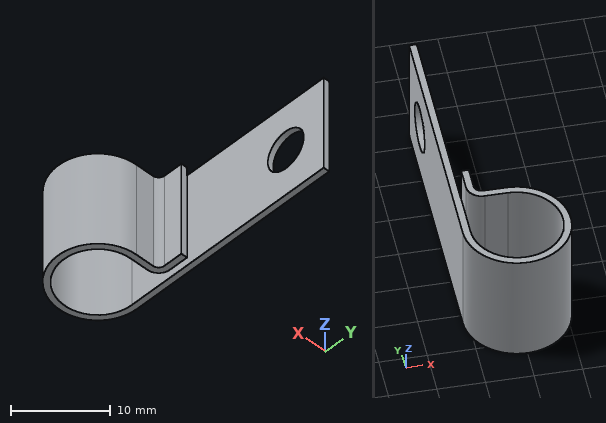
import cadquery as cq
import math

length = 33.35
width = 12.7
thickness = 0.8

loop_outer_radius = 5.57
loop_inner_radius = loop_outer_radius - thickness

strap_end_y = length - loop_outer_radius
hole_diameter = 5.17
hole_end_distance = 5.5

lip_gap = 0.8
lip_outer_x = -loop_inner_radius + lip_gap
lip_inner_x = lip_outer_x + thickness
lip_end_y = 8.85
bend_inner_radius = 0.8
bend_outer_radius = bend_inner_radius + thickness
bend_x = lip_inner_x + bend_inner_radius
bend_y = loop_outer_radius + bend_inner_radius


def bend_middle(radius):
    """Midpoint of the quarter-turn bend between the loop and the lip."""
    offset = radius * math.sqrt(0.5)
    return (bend_x - offset, bend_y - offset)


def make_strip():
    """Constant-thickness strip: strap, three-quarter loop, bend and lip."""
    outer_middle = loop_outer_radius * math.sqrt(0.5)
    inner_middle = loop_inner_radius * math.sqrt(0.5)
    return (
        cq.Workplane("XY")
        .workplane(offset=-width / 2)
        .moveTo(-loop_outer_radius, strap_end_y)
        .lineTo(-loop_outer_radius, 0)
        .threePointArc((outer_middle, -outer_middle), (0, loop_outer_radius))
        .lineTo(bend_x, loop_outer_radius)
        .threePointArc(bend_middle(bend_inner_radius), (lip_inner_x, bend_y))
        .lineTo(lip_inner_x, lip_end_y)
        .lineTo(lip_outer_x, lip_end_y)
        .lineTo(lip_outer_x, bend_y)
        .threePointArc(bend_middle(bend_outer_radius), (bend_x, loop_inner_radius))
        .lineTo(0, loop_inner_radius)
        .threePointArc((inner_middle, -inner_middle), (-loop_inner_radius, 0))
        .lineTo(-loop_inner_radius, strap_end_y)
        .close()
        .extrude(width)
    )


def make_hole_cutter():
    """Cylinder along X through the strap only, centred across its width."""
    return (
        cq.Workplane("YZ")
        .workplane(offset=-loop_outer_radius)
        .center(strap_end_y - hole_end_distance, 0)
        .circle(hole_diameter / 2)
        .extrude(thickness)
    )


result = make_strip().cut(make_hole_cutter())